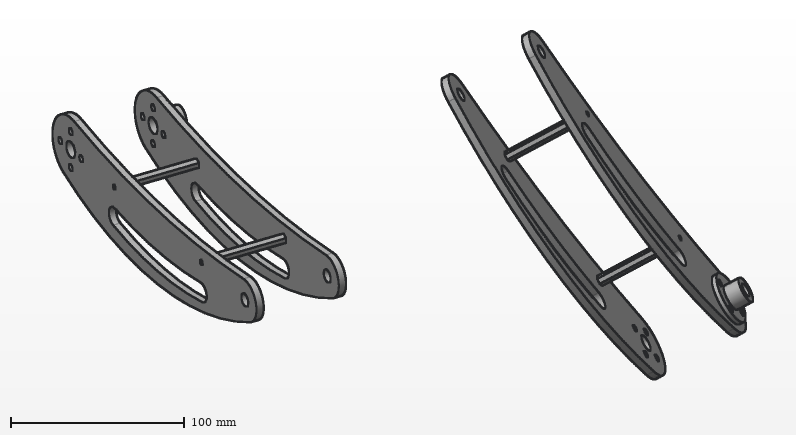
import cadquery as cq
import math

total_length = 234.5
pivot_spacing = 200.0
drive_end_radius = 21.0
tip_end_radius = total_length - pivot_spacing - drive_end_radius
upper_edge_radius = 621.3
lower_edge_radius = 251.3
plate_thickness = 5.0
plate_gap = 50.0

drive_hole_diameter = 10.0
tip_hole_diameter = 8.0
bolt_hole_diameter = 4.2
bolt_circle_radius = 12.0
bolt_count = 4

slot_end_x = (pivot_spacing / 4, pivot_spacing * 3 / 4)
slot_end_z = -20.0
slot_end_radius = 6.0
slot_upper_radius = 316.5
slot_lower_radius = 258.0

rod_x_positions = slot_end_x
rod_across_flats = 5.6
rod_bore_diameter = 3.0

flange_diameter = 32.0
flange_thickness = 3.0
boss_diameter = 16.0
boss_length = 10.0
hub_bore_diameter = 8.2

rear_plate_y = plate_thickness + plate_gap
hub_y = rear_plate_y + plate_thickness


def plane_at(y):
    """XZ plane at the given Y, with its normal along +Y and local (x, -z)."""
    return cq.Workplane(cq.Plane(origin=(0, y, 0), xDir=(1, 0, 0), normal=(0, 1, 0)))


def cylinder(diameter, y, length, x=0.0, z=0.0):
    """Cylinder along +Y, starting at the given Y."""
    return plane_at(y).center(x, -z).circle(diameter / 2).extrude(length)


def bolt_holes(y, length):
    """Cutters for the ring of bolt holes around the drive pivot."""
    bolt_centers = plane_at(y).polarArray(bolt_circle_radius, 0, 360, bolt_count)
    return bolt_centers.circle(bolt_hole_diameter / 2).extrude(length)


def tangent_arc(left_radius, right_radius, spacing, edge_radius, side):
    """Sagging arc tangent to two end circles centred at (0, 0) and (spacing, 0).

    side is +1 for the upper edge and -1 for the lower edge.
    Returns the left tangent point, the lowest point and the right tangent point.
    """
    left_reach = edge_radius + side * left_radius
    right_reach = edge_radius + side * right_radius
    center_x = (left_reach**2 - right_reach**2 + spacing**2) / (2 * spacing)
    center_z = math.sqrt(left_reach**2 - center_x**2)
    left_scale = side * left_radius / left_reach
    right_scale = side * right_radius / right_reach
    left_point = (center_x * left_scale, center_z * left_scale)
    lowest_point = (center_x, center_z - edge_radius)
    right_point = (spacing + (center_x - spacing) * right_scale, center_z * right_scale)
    return left_point, lowest_point, right_point


def curved_strip(left_radius, right_radius, spacing, upper_radius, lower_radius, y, left_center=(0.0, 0.0)):
    """Plate-thick curved shape with round ends joined by two sagging tangent arcs."""

    def place(point):
        return (left_center[0] + point[0], -left_center[1] - point[1])

    upper = tangent_arc(left_radius, right_radius, spacing, upper_radius, 1)
    lower = tangent_arc(left_radius, right_radius, spacing, lower_radius, -1)
    upper_left, upper_low, upper_right = [place(point) for point in upper]
    lower_left, lower_low, lower_right = [place(point) for point in lower]
    return (
        plane_at(y)
        .moveTo(*upper_left)
        .threePointArc(upper_low, upper_right)
        .threePointArc(place((spacing + right_radius, 0)), lower_right)
        .threePointArc(lower_low, lower_left)
        .threePointArc(place((-left_radius, 0)), upper_left)
        .close()
        .extrude(plate_thickness)
    )


def make_plate(y):
    """Arm plate with pivot holes, bolt holes, rod holes and the curved slot."""
    plate = curved_strip(
        drive_end_radius, tip_end_radius, pivot_spacing, upper_edge_radius, lower_edge_radius, y
    )
    slot = curved_strip(
        slot_end_radius,
        slot_end_radius,
        slot_end_x[1] - slot_end_x[0],
        slot_upper_radius,
        slot_lower_radius,
        y,
        (slot_end_x[0], slot_end_z),
    )
    plate = plate.cut(slot).cut(bolt_holes(y, plate_thickness))
    plate = plate.cut(cylinder(drive_hole_diameter, y, plate_thickness))
    plate = plate.cut(cylinder(tip_hole_diameter, y, plate_thickness, pivot_spacing))
    for x in rod_x_positions:
        plate = plate.cut(cylinder(rod_bore_diameter, y, plate_thickness, x))
    return plate


def make_rod(x):
    """Hexagonal spacer rod between the plates, with two corners pointing up and down."""
    across_corners = rod_across_flats / math.cos(math.pi / 6)
    rod = (
        plane_at(plate_thickness)
        .transformed(offset=(x, 0, 0), rotate=(0, 0, 90))
        .polygon(6, across_corners)
        .extrude(plate_gap)
    )
    return rod.cut(cylinder(rod_bore_diameter, plate_thickness, plate_gap, x))


def make_hub():
    """Bolted flange with a tubular boss."""
    flange = cylinder(flange_diameter, hub_y, flange_thickness).cut(bolt_holes(hub_y, flange_thickness))
    boss = cylinder(boss_diameter, hub_y + flange_thickness, boss_length)
    return flange.union(boss).cut(cylinder(hub_bore_diameter, hub_y, flange_thickness + boss_length))


plates = [make_plate(y) for y in (0.0, rear_plate_y)]
rods = [make_rod(x) for x in rod_x_positions]
hub = make_hub()

result = cq.Compound.makeCompound(
    [
        *[plate.val() for plate in plates],
        *[rod.val() for rod in rods],
        hub.val(),
    ]
)